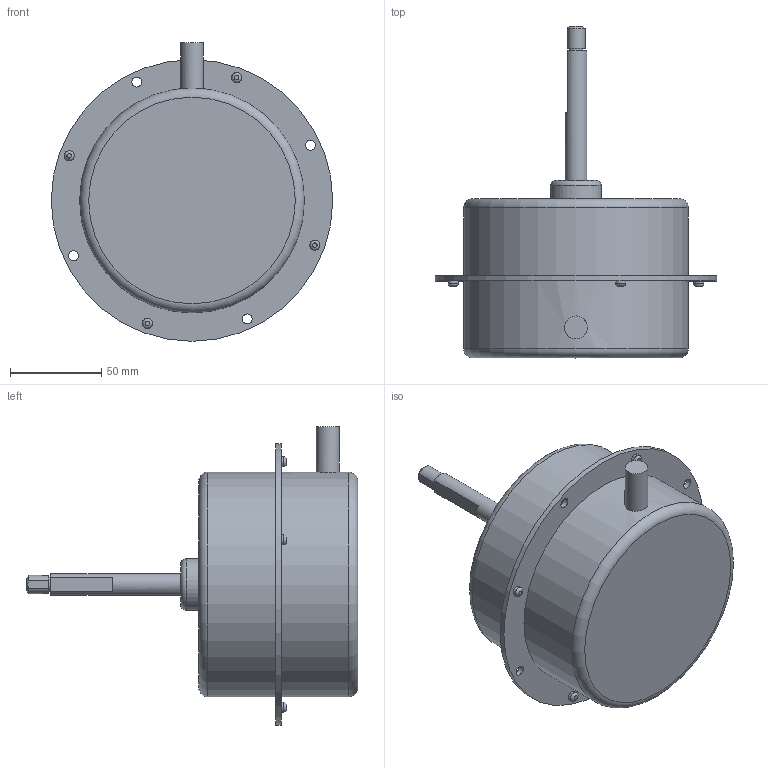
import cadquery as cq
import math


housing_diameter = 123.0
housing_length = 87.0
housing_fillet = 5.0

flange_diameter = 154.0
flange_front = 42.0
flange_thickness = 3.0
bolt_circle_radius = 71.5
hole_diameter = 5.5
fasteners_per_ring = 4
fastener_spacing = 360.0 / fasteners_per_ring
first_rivet_angle = 70.0
first_hole_angle = 25.0

rivet_diameter = 5.5
rivet_height = 3.0
rivet_fillet = 1.5

boss_diameter = 28.0
boss_length = 10.0
boss_fillet = 3.0

shaft_diameter = 12.0
shaft_length = 84.5
tip_diameter = 10.0
tip_length = 12.5
tip_chamfer = 1.5
groove_diameter = 8.0
groove_width = 1.0
flat_length = 47.5
flat_offset = 4.5

cable_diameter = 12.5
cable_position = 16.5
cable_projection = 24.8

boss_end = housing_length + boss_length
shaft_end = boss_end + shaft_length
shoulder = shaft_end - tip_length - groove_width
cable_top = housing_diameter / 2 + cable_projection


def cylinder_along_y(diameter, start, end, x=0.0, z=0.0):
    """Cylinder parallel to the shaft axis, from Y = start to Y = end."""
    base = cq.Workplane("XZ", origin=(x, start, z))
    return base.circle(diameter / 2).extrude(start - end)


def ring_centres(first_angle):
    """X and Z of equally spaced points on the bolt circle."""
    angles = [math.radians(first_angle + i * fastener_spacing) for i in range(fasteners_per_ring)]
    return [(bolt_circle_radius * math.cos(a), bolt_circle_radius * math.sin(a)) for a in angles]


def make_housing():
    body = cylinder_along_y(housing_diameter, 0, housing_length)
    return body.edges("%CIRCLE").fillet(housing_fillet)


def make_flange():
    flange_back = flange_front + flange_thickness
    flange = cylinder_along_y(flange_diameter, flange_front, flange_back)
    for x, z in ring_centres(first_hole_angle):
        flange = flange.cut(cylinder_along_y(hole_diameter, flange_front, flange_back, x, z))
    return flange


def make_rivet(x, z):
    head = cylinder_along_y(rivet_diameter, flange_front - rivet_height, flange_front, x, z)
    return head.faces("<Y").edges().fillet(rivet_fillet)


def make_boss():
    boss = cylinder_along_y(boss_diameter, housing_length, boss_end)
    return boss.faces(">Y").edges().fillet(boss_fillet)


def make_shaft():
    tip = cylinder_along_y(tip_diameter, shaft_end - tip_length, shaft_end)
    tip = tip.faces(">Y").edges().chamfer(tip_chamfer)
    groove = cylinder_along_y(groove_diameter, shoulder, shaft_end - tip_length)
    shaft = cylinder_along_y(shaft_diameter, boss_end, shoulder).union(groove).union(tip)
    flat_cutter = cq.Workplane("XY").box(
        shaft_diameter, flat_length, shaft_diameter, centered=(False, False, True)
    )
    flat_start = (-flat_offset - shaft_diameter, shaft_end - flat_length, 0)
    return shaft.cut(flat_cutter.translate(flat_start))


def make_cable():
    base = cq.Workplane("XY", origin=(0, cable_position, 0))
    return base.circle(cable_diameter / 2).extrude(cable_top)


result = make_housing().union(make_flange()).union(make_boss()).union(make_shaft()).union(make_cable())
for rivet_x, rivet_z in ring_centres(first_rivet_angle):
    result = result.union(make_rivet(rivet_x, rivet_z))